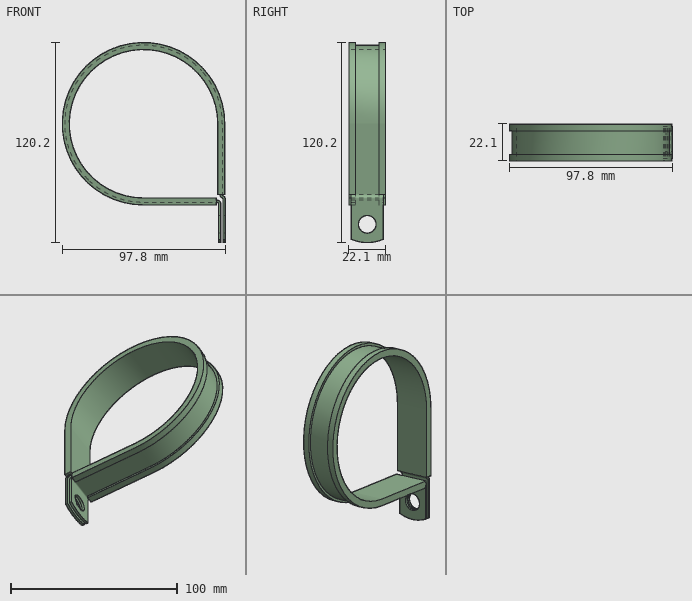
import cadquery as cq
import math

outer_radius = 48.8
cushion_thickness = 4.3
cushion_width = 22.1
groove_width = 14.0
groove_depth = 1.6
vertical_leg_end_z = -42.5
horizontal_leg_end_x = 43.7

strap_thickness = 1.5
lug_width = 19.2
lug_bottom_z = -71.4
lug_tip_sagitta = 2.0
hole_diameter = 10.5
hole_height = 11.0
outer_lug_x = 48.3
inner_lug_x = 45.7
jog_drop = 2.5
elbow_radius = 1.6
embedment = 3.6

strap_radius = outer_radius - groove_depth - strap_thickness / 2


def loop_outer_edge(radius):
    """Three-quarter circle whose two ends continue as straight tangent legs."""
    diagonal = radius * math.sqrt(0.5)
    return (
        cq.Workplane("XZ")
        .moveTo(horizontal_leg_end_x, -radius)
        .lineTo(0, -radius)
        .threePointArc((-diagonal, diagonal), (radius, 0))
        .lineTo(radius, vertical_leg_end_z)
    )


def loop_band(outside, inside, width):
    """Open band between two loop radii, centred on Y = 0."""
    inside_diagonal = inside * math.sqrt(0.5)
    return (
        loop_outer_edge(outside)
        .lineTo(inside, vertical_leg_end_z)
        .lineTo(inside, 0)
        .threePointArc((-inside_diagonal, inside_diagonal), (0, -inside))
        .lineTo(horizontal_leg_end_x, -inside)
        .close()
        .extrude(width / 2, both=True)
    )


def strap_along(path, plane, start):
    """Sweep the flat strap section along a bent path."""
    section = cq.Workplane(plane, origin=start)
    if plane == "XY":
        section = section.rect(strap_thickness, lug_width)
    else:
        section = section.rect(lug_width, strap_thickness)
    return section.sweep(path)


def outer_lug():
    """Lug leaving the vertical leg through an outward S-bend."""
    start_z = vertical_leg_end_z + embedment
    jog_middle = ((strap_radius + outer_lug_x) / 2, vertical_leg_end_z - jog_drop / 2)
    path = (
        cq.Workplane("XZ")
        .moveTo(strap_radius, start_z)
        .lineTo(strap_radius, vertical_leg_end_z)
        .tangentArcPoint(jog_middle, relative=False)
        .tangentArcPoint((outer_lug_x, vertical_leg_end_z - jog_drop), relative=False)
        .lineTo(outer_lug_x, lug_bottom_z)
    )
    return strap_along(path, "XY", (strap_radius, 0, start_z))


def inner_lug():
    """Lug leaving the horizontal leg through a downward elbow."""
    start_x = horizontal_leg_end_x - embedment
    path = (
        cq.Workplane("XZ")
        .moveTo(start_x, -strap_radius)
        .lineTo(inner_lug_x - elbow_radius, -strap_radius)
        .tangentArcPoint((inner_lug_x, -strap_radius - elbow_radius), relative=False)
        .lineTo(inner_lug_x, lug_bottom_z)
    )
    return strap_along(path, "YZ", (start_x, 0, -strap_radius))


def lug_outline():
    """Prism along X that trims both lugs to a rounded tip and leaves the bolt hole."""
    half_width = lug_width / 2
    shoulder_z = lug_bottom_z + lug_tip_sagitta
    return (
        cq.Workplane("YZ")
        .moveTo(-half_width, 0)
        .lineTo(-half_width, shoulder_z)
        .threePointArc((0, lug_bottom_z), (half_width, shoulder_z))
        .lineTo(half_width, 0)
        .close()
        .moveTo(0, lug_bottom_z + hole_height)
        .circle(hole_diameter / 2)
        .extrude(outer_lug_x + strap_thickness)
    )


cushion = loop_band(outer_radius, outer_radius - cushion_thickness, cushion_width)
groove = loop_band(outer_radius, outer_radius - groove_depth, groove_width)
lugs = outer_lug().union(inner_lug()).intersect(lug_outline())

result = cushion.cut(groove).union(lugs)